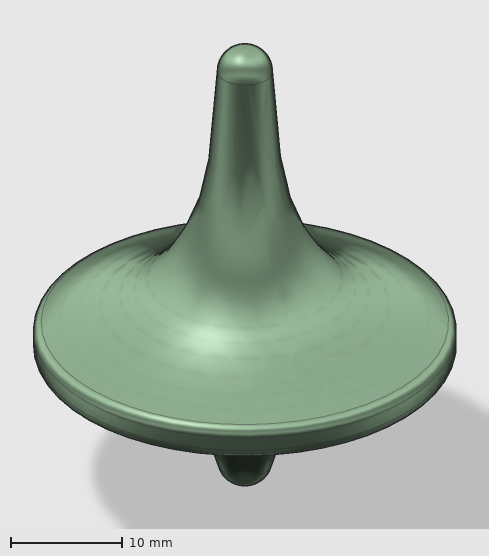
import cadquery as cq
import math

height = 45.3
rim_diameter = 38.1
rim_radius = rim_diameter / 2

band_bottom = 14.4
band_top = 15.7
rim_rounding = 1.0
upper_face_slope = 17.0
lower_face_slope = 8.0

ball_radius = 2.5
tip_cap_height = 1.95

lower_flare = [(4.5, 7.43), (6.6, 10.2), (9.85, 11.95)]
upper_flare = [(13.35, 18.3), (8.75, 21.25), (6.35, 24.35), (4.35, 28.6), (3.0, 36.1)]


def arc_point(center, radius, angle):
    """Point on a circle, with the angle in degrees from the radial direction."""
    turn = math.radians(angle)
    return (center[0] + radius * math.cos(turn), center[1] + radius * math.sin(turn))


rounding_radius_center = rim_radius - rim_rounding
lower_center = (rounding_radius_center, band_bottom)
upper_center = (rounding_radius_center, band_top)
lower_sweep = lower_face_slope - 90
upper_sweep = 90 - upper_face_slope
lower_edge = arc_point(lower_center, rim_rounding, lower_sweep)
lower_mid = arc_point(lower_center, rim_rounding, lower_sweep / 2)
upper_mid = arc_point(upper_center, rim_rounding, upper_sweep / 2)
upper_edge = arc_point(upper_center, rim_rounding, upper_sweep)

tip_center = (0, ball_radius)
tip_end_angle = math.degrees(math.asin((tip_cap_height - ball_radius) / ball_radius))
tip_mid = arc_point(tip_center, ball_radius, (tip_end_angle - 90) / 2)
tip_end = arc_point(tip_center, ball_radius, tip_end_angle)

handle_center = (0, height - ball_radius)
handle_start = arc_point(handle_center, ball_radius, 0)
handle_mid = arc_point(handle_center, ball_radius, 45)

profile = (
    cq.Workplane("XZ")
    .moveTo(0, 0)
    .threePointArc(tip_mid, tip_end)
    .spline(lower_flare + [lower_edge], includeCurrent=True)
    .threePointArc(lower_mid, (rim_radius, band_bottom))
    .lineTo(rim_radius, band_top)
    .threePointArc(upper_mid, upper_edge)
    .spline(upper_flare + [handle_start], includeCurrent=True)
    .threePointArc(handle_mid, (0, height))
    .close()
)
result = profile.revolve(360, (0, 0, 0), (0, 1, 0))